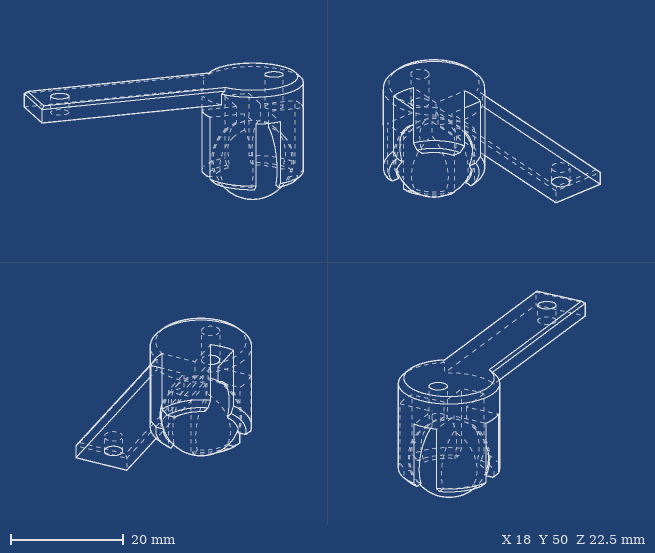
import cadquery as cq

head_diameter = 18.0
head_radius = head_diameter / 2
head_height = 18.5
head_chamfer = 1.0
slot_width = 4.5
slot_roof_depth = 6.0

total_length = 50.0
arm_width = 10.0
arm_thickness = 3.0
arm_chamfer = 0.5
arm_reach = total_length - head_radius

hole_diameter = 3.25
head_hole_offset = 4.0
arm_hole_end_distance = 5.0

ball_diameter = 14.0
ball_radius = ball_diameter / 2
socket_clearance = 0.25
overall_height = 22.5
ball_center_z = ball_radius - overall_height


def make_sphere(radius):
    """Sphere about the ball centre."""
    return cq.Workplane("XY").sphere(radius).translate((0, 0, ball_center_z))


def make_ball():
    """Ball that protrudes below the fingers."""
    return make_sphere(ball_radius)


def make_head():
    """Solid cylinder with both rims chamfered."""
    head = cq.Workplane("XY").circle(head_radius).extrude(-head_height)
    return head.faces("<Z or >Z").chamfer(head_chamfer)


def make_arm():
    """Flat bar from the head axis to the far end, with its top edges chamfered."""
    bar = cq.Workplane("XY").box(arm_width, arm_reach, arm_thickness, centered=(True, False, False))
    bar = bar.translate((0, -arm_reach, -arm_thickness))
    top_edges = bar.faces(">Z").edges("|Y or <Y")
    return top_edges.chamfer(arm_chamfer)


def make_cross_slots():
    """Two crossing slots, open at the bottom, that part the fingers."""
    slot_height = head_height - slot_roof_depth
    slot = cq.Workplane("XY").box(slot_width, head_diameter, slot_height, centered=(True, True, False))
    slot = slot.translate((0, 0, -head_height))
    return slot.union(slot.rotate((0, 0, 0), (0, 0, 1), 90))


def make_vertical_hole(y, depth):
    """Cutter for a hole drilled down from the top."""
    return cq.Workplane("XY").center(0, y).circle(hole_diameter / 2).extrude(-depth)


def make_housing():
    """Slotted head and arm in one piece, with the ball socket and both holes."""
    housing = make_head().union(make_arm())
    housing = housing.cut(make_cross_slots())
    housing = housing.cut(make_sphere(ball_radius + socket_clearance))
    housing = housing.cut(make_vertical_hole(head_hole_offset, slot_roof_depth))
    arm_hole_y = arm_hole_end_distance - arm_reach
    return housing.cut(make_vertical_hole(arm_hole_y, arm_thickness))


housing = make_housing()
ball = make_ball()

result = cq.Compound.makeCompound([housing.val(), ball.val()])